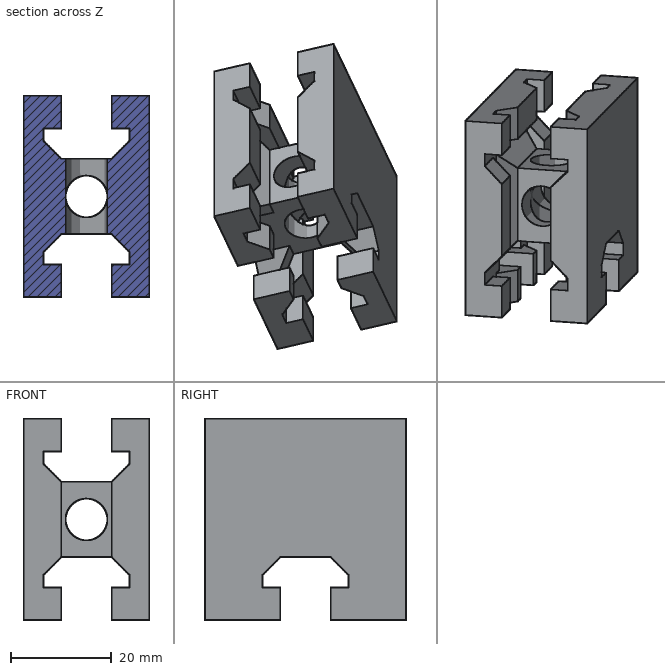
import cadquery as cq

width = 25.0
side = 40.0

slot_mouth = 10.0
slot_head = 17.0
lip_depth = 6.5
head_depth = 9.0
slot_depth = head_depth + (slot_head - slot_mouth) / 2

hole_diameter = 8.25


def t_slot(plane_name, turn):
    """T-slot cutter running through the block along the plane's normal.

    The slot opens toward the plane's local +Y edge before it is turned
    by `turn` degrees about the normal.
    """
    mouth = slot_mouth / 2
    head = slot_head / 2
    face = side / 2
    outline = [
        (mouth, face),
        (mouth, face - lip_depth),
        (head, face - lip_depth),
        (head, face - head_depth),
        (mouth, face - slot_depth),
        (-mouth, face - slot_depth),
        (-head, face - head_depth),
        (-head, face - lip_depth),
        (-mouth, face - lip_depth),
        (-mouth, face),
    ]
    plane = cq.Plane.named(plane_name).rotated((0, 0, turn))
    return cq.Workplane(plane).polyline(outline).close().extrude(side / 2, both=True)


def cross_hole(plane_name):
    """Hole cutter through the centre of the block along the plane's normal."""
    return cq.Workplane(plane_name).circle(hole_diameter / 2).extrude(side / 2, both=True)


result = cq.Workplane("XY").box(width, side, side)

for slot_plane in ("XZ", "XY"):
    for half_turn in (0, 180):
        result = result.cut(t_slot(slot_plane, half_turn))

result = result.cut(t_slot("YZ", 180))

for hole_plane in ("XZ", "XY"):
    result = result.cut(cross_hole(hole_plane))